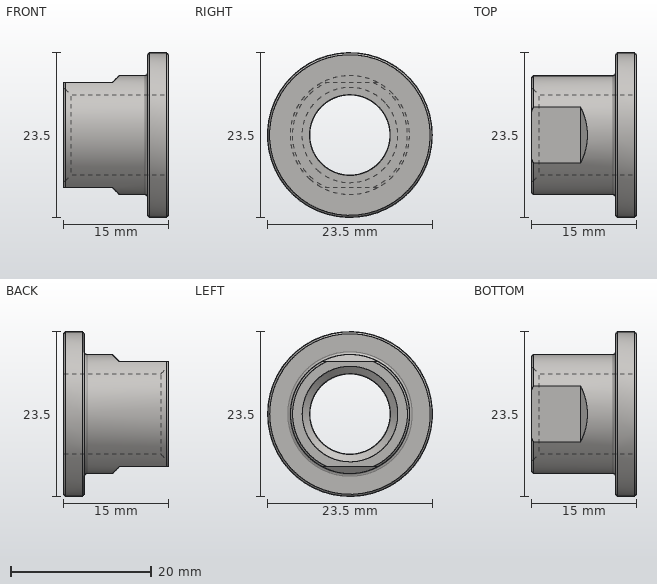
import cadquery as cq

total_length = 15.0
flange_diameter = 23.5
flange_thickness = 3.0
sleeve_diameter = 17.0
bore_diameter = 11.45

edge_chamfer = 0.3
root_fillet = 0.38
countersink_diameter = 13.63
countersink_depth = (countersink_diameter - bore_diameter) / 2

across_flats = 15.0
flat_length = 7.0


def turned_body():
    """Sleeve and flange revolved about X, with the bore and countersink included."""
    sleeve_radius = sleeve_diameter / 2
    flange_radius = flange_diameter / 2
    bore_radius = bore_diameter / 2
    flange_start = total_length - flange_thickness
    profile = (
        cq.Workplane("XY")
        .moveTo(0, countersink_diameter / 2)
        .lineTo(0, sleeve_radius - edge_chamfer)
        .lineTo(edge_chamfer, sleeve_radius)
        .lineTo(flange_start - root_fillet, sleeve_radius)
        .radiusArc((flange_start, sleeve_radius + root_fillet), -root_fillet)
        .lineTo(flange_start, flange_radius - edge_chamfer)
        .lineTo(flange_start + edge_chamfer, flange_radius)
        .lineTo(total_length - edge_chamfer, flange_radius)
        .lineTo(total_length, flange_radius - edge_chamfer)
        .lineTo(total_length, bore_radius)
        .lineTo(countersink_depth, bore_radius)
        .close()
    )
    return profile.revolve(360, (0, 0, 0), (1, 0, 0))


def flat_cutter():
    """Material above the upper flat, bounded by its ramp."""
    flat_height = across_flats / 2
    cutter_top = flange_diameter / 2
    ramp_run = cutter_top - flat_height
    return (
        cq.Workplane("XZ")
        .moveTo(0, flat_height)
        .lineTo(flat_length, flat_height)
        .lineTo(flat_length + ramp_run, cutter_top)
        .lineTo(0, cutter_top)
        .close()
        .extrude(sleeve_diameter / 2, both=True)
    )


upper_cutter = flat_cutter()
lower_cutter = upper_cutter.mirror("XY")
result = turned_body().cut(upper_cutter).cut(lower_cutter)